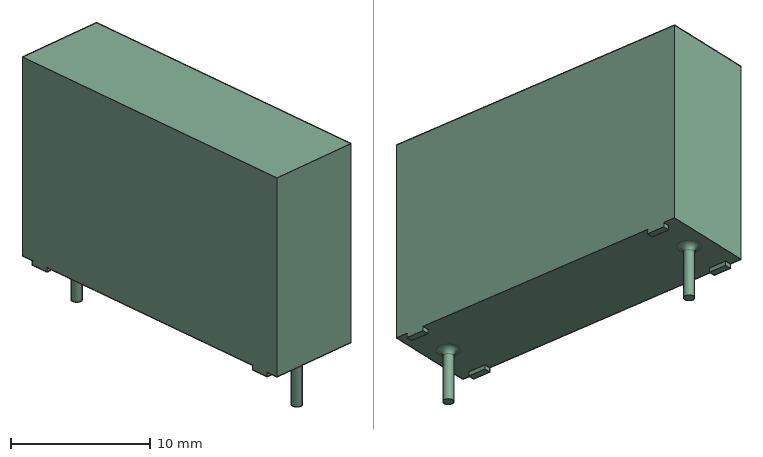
import cadquery as cq


case_length = 26.0
case_width = 7.5
overall_height = 20.5

foot_length = 1.5
foot_width = 0.55
foot_height = 0.36

lead_diameter = 0.8
lead_pitch = 22.5
lead_length = 4.3
lead_fillet = 0.5

case_height = overall_height - lead_length
lead_radius = lead_diameter / 2
lead_positions = [(-lead_pitch / 2, 0), (lead_pitch / 2, 0)]


def make_case():
    return cq.Workplane("XY").box(case_length, case_width, case_height, centered=(True, True, False))


def make_feet():
    """Four feet, flush with the long sides and in line with the leads."""
    return (
        cq.Workplane("XY")
        .rarray(lead_pitch, case_width - foot_width, 2, 2)
        .rect(foot_length, foot_width)
        .extrude(-foot_height)
    )


def add_leads(body):
    """Hang the round leads from the underside and flare their roots."""
    leads = cq.Workplane("XY").pushPoints(lead_positions).circle(lead_radius).extrude(-lead_length)
    lead_roots = cq.selectors.BoxSelector(
        (-case_length / 2, -lead_diameter, -lead_radius),
        (case_length / 2, lead_diameter, lead_radius),
    )
    return body.union(leads).edges("%CIRCLE").edges(lead_roots).fillet(lead_fillet)


result = add_leads(make_case().union(make_feet()))